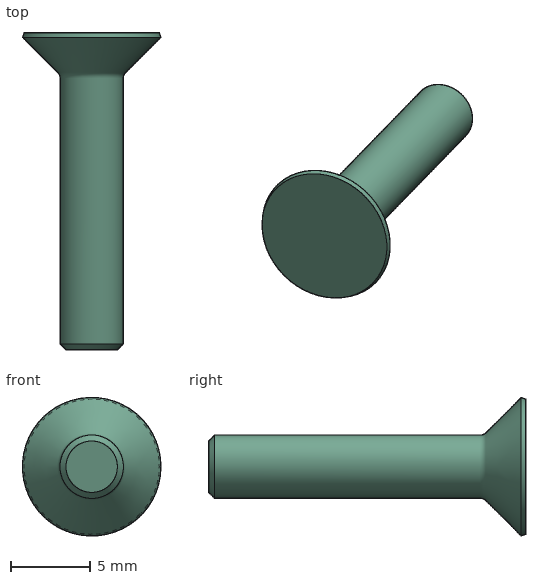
import cadquery as cq
import math

length = 20.0
shank_radius = 4.0 / 2
head_radius = 8.75 / 2
head_face_radius = 4.25
rim_height = 0.3
head_half_angle = math.radians(45)
neck_fillet_radius = 0.48
tip_chamfer = 0.38

rim_y = length - rim_height
cone_corner_y = rim_y - (head_radius - shank_radius) / math.tan(head_half_angle)

tangent_length = neck_fillet_radius * math.tan(head_half_angle / 2)
fillet_center_radius = shank_radius + neck_fillet_radius
fillet_start_y = cone_corner_y - tangent_length


def fillet_point(angle):
    """Point (radius, Y) on the neck fillet, at an angle turned from the shank."""
    radius = fillet_center_radius - neck_fillet_radius * math.cos(angle)
    y = fillet_start_y + neck_fillet_radius * math.sin(angle)
    return (radius, y)


profile = (
    cq.Workplane("XY")
    .moveTo(0, 0)
    .lineTo(shank_radius - tip_chamfer, 0)
    .lineTo(shank_radius, tip_chamfer)
    .lineTo(shank_radius, fillet_start_y)
    .threePointArc(fillet_point(head_half_angle / 2), fillet_point(head_half_angle))
    .lineTo(head_radius, rim_y)
    .lineTo(head_face_radius, length)
    .lineTo(0, length)
    .close()
)

result = profile.revolve(360, (0, 0, 0), (0, 1, 0))